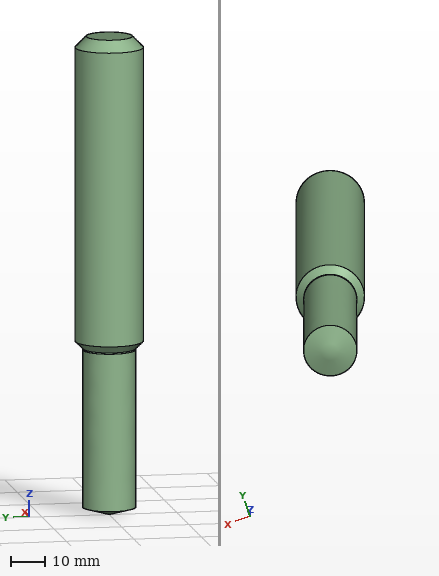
import cadquery as cq

overall_length = 142.0
shank_diameter = 20.0
shank_length = 93.0
shank_top_face_diameter = 13.5
shank_top_chamfer_height = 3.25
shank_lip_diameter = 15.6
shank_lip_height = 0.4
pin_diameter_at_point = 15.6
pin_diameter_at_shank = 15.5
point_height = 2.3

shank_bottom = overall_length - shank_length
lip_top = shank_bottom + shank_lip_height
shank_radius = shank_diameter / 2
lip_radius = shank_lip_diameter / 2
lower_chamfer = shank_radius - lip_radius


def revolve_profile(points):
    """Turn a closed outline of (radius, height) points fully around the Z axis."""
    return cq.Workplane("XZ").polyline(points).close().revolve(360, (0, 0, 0), (0, 1, 0))


def make_shank():
    """Round shank, chamfered at both ends, with a short lip below the lower chamfer."""
    return revolve_profile([
        (0, shank_bottom),
        (lip_radius, shank_bottom),
        (lip_radius, lip_top),
        (shank_radius, lip_top + lower_chamfer),
        (shank_radius, overall_length - shank_top_chamfer_height),
        (shank_top_face_diameter / 2, overall_length),
        (0, overall_length),
    ])


def make_pin():
    """Slightly tapered pin that butts against the shank and ends in a blunt conical point."""
    return revolve_profile([
        (0, 0),
        (pin_diameter_at_point / 2, point_height),
        (pin_diameter_at_shank / 2, shank_bottom),
        (0, shank_bottom),
    ])


shank = make_shank()
pin = make_pin()

result = cq.Compound.makeCompound([shank.val(), pin.val()])